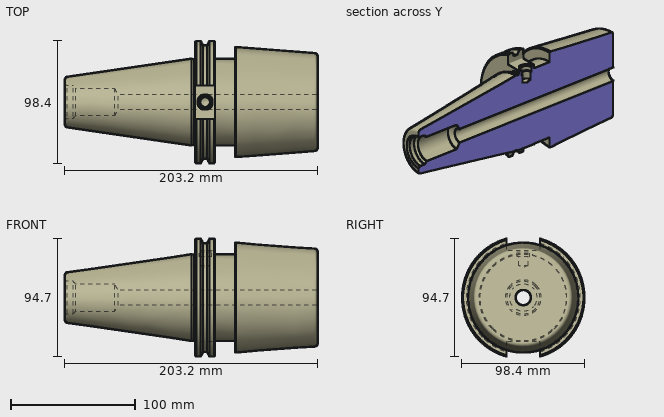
import cadquery as cq
import math

TOTAL_LENGTH = 203.2
GAUGE_X = 101.6
FLANGE_OFFSET = 3.175
FLANGE_WIDTH = 15.875
HEAD_OFFSET = 15.875

GAUGE_DIA = 69.85
TAPER_RATIO = 7 / 24
TAPER_END_FILLET = 3.0
COLLAR_DIA = 69.34
COLLAR_FILLET = 0.8

FLANGE_DIA = 98.425
FLANGE_CHAMFER = 0.9
GROOVE_BOTTOM_DIA = 91.4
GROOVE_BOTTOM_WIDTH = 3.2
GROOVE_WALL_ANGLE = 30

SLOT_WIDTH = 26.78
SLOT_FILLET = 0.8
TOP_SLOT_FLOOR = 37.8
BOTTOM_SLOT_FLOOR = 35.2

SCREW_HOLE_DIA = 8.0
SCREW_RECESS_DIA = 10.13
SCREW_MOUTH_DIA = 12.2
SCREW_RECESS_DEPTH = 5.0
SCREW_HOLE_DEPTH = 12.0
SCREW_POINT_ANGLE = 140

NECK_DIA = GAUGE_DIA
HEAD_BACK_DIA = 88.7
HEAD_FRONT_DIA = 78.5
HEAD_BACK_CHAMFER = 0.8
HEAD_FRONT_FILLET = 3.0

BORE_MOUTH_DIA = 28.7
BORE_MOUTH_ANGLE = 30
COUNTERBORE_DIA = 26.36
COUNTERBORE_DEPTH = 6.6
THREAD_BORE_DIA = 21.97
THREAD_BORE_DEPTH = 40.0
BORE_CONE_ANGLE = 118
THROUGH_HOLE_DIA = 12.0

FLANGE_X = GAUGE_X + FLANGE_OFFSET
FLANGE_END_X = FLANGE_X + FLANGE_WIDTH
FLANGE_MID_X = FLANGE_X + FLANGE_WIDTH / 2
HEAD_X = FLANGE_END_X + HEAD_OFFSET


def revolve_about_x(outline):
    """Turn a closed (x, radius) outline about the X axis."""
    return outline.close().revolve(360, (0, 0, 0), (1, 0, 0))


def make_shank():
    small_radius = (GAUGE_DIA - GAUGE_X * TAPER_RATIO) / 2
    cone = revolve_about_x(
        cq.Workplane("XY")
        .lineTo(0, small_radius)
        .lineTo(GAUGE_X, GAUGE_DIA / 2)
        .lineTo(GAUGE_X, 0)
    )
    cone = cone.faces("<X").edges().fillet(TAPER_END_FILLET)
    collar_radius = COLLAR_DIA / 2
    collar = revolve_about_x(
        cq.Workplane("XY")
        .moveTo(GAUGE_X, 0)
        .lineTo(GAUGE_X, collar_radius)
        .lineTo(FLANGE_X - COLLAR_FILLET, collar_radius)
        .radiusArc((FLANGE_X, collar_radius + COLLAR_FILLET), -COLLAR_FILLET)
        .lineTo(FLANGE_X, 0)
    )
    return cone.union(collar)


def make_flange():
    outer_radius = FLANGE_DIA / 2
    groove_radius = GROOVE_BOTTOM_DIA / 2
    groove_half_bottom = GROOVE_BOTTOM_WIDTH / 2
    wall_run = (outer_radius - groove_radius) * math.tan(math.radians(GROOVE_WALL_ANGLE))
    groove_half_top = groove_half_bottom + wall_run
    return revolve_about_x(
        cq.Workplane("XY")
        .moveTo(FLANGE_X, 0)
        .lineTo(FLANGE_X, outer_radius - FLANGE_CHAMFER)
        .lineTo(FLANGE_X + FLANGE_CHAMFER, outer_radius)
        .lineTo(FLANGE_MID_X - groove_half_top, outer_radius)
        .lineTo(FLANGE_MID_X - groove_half_bottom, groove_radius)
        .lineTo(FLANGE_MID_X + groove_half_bottom, groove_radius)
        .lineTo(FLANGE_MID_X + groove_half_top, outer_radius)
        .lineTo(FLANGE_END_X - FLANGE_CHAMFER, outer_radius)
        .lineTo(FLANGE_END_X, outer_radius - FLANGE_CHAMFER)
        .lineTo(FLANGE_END_X, 0)
    )


def make_neck_and_head():
    head = revolve_about_x(
        cq.Workplane("XY")
        .moveTo(HEAD_X, 0)
        .lineTo(HEAD_X, HEAD_BACK_DIA / 2)
        .lineTo(TOTAL_LENGTH, HEAD_FRONT_DIA / 2)
        .lineTo(TOTAL_LENGTH, 0)
    )
    head = head.faces("<X").edges().chamfer(HEAD_BACK_CHAMFER)
    head = head.faces(">X").edges().fillet(HEAD_FRONT_FILLET)
    neck = cq.Workplane("YZ", (FLANGE_END_X, 0, 0)).circle(NECK_DIA / 2).extrude(HEAD_OFFSET)
    return neck.union(head)


def make_drive_slot(floor_distance, side):
    """Block that clears a slot above (side=1) or below (side=-1) the axis."""
    height = FLANGE_DIA / 2
    mid_z = side * (floor_distance + height / 2)
    block = cq.Workplane("XY", (FLANGE_MID_X, 0, mid_z)).box(FLANGE_WIDTH, SLOT_WIDTH, height)
    floor = block.faces("<Z" if side > 0 else ">Z")
    return floor.edges("|X").fillet(SLOT_FILLET)


def make_bore():
    mouth_depth = (BORE_MOUTH_DIA - COUNTERBORE_DIA) / 2 / math.tan(math.radians(BORE_MOUTH_ANGLE))
    step_depth = (COUNTERBORE_DIA - THREAD_BORE_DIA) / 2
    cone_rise = (THREAD_BORE_DIA - THROUGH_HOLE_DIA) / 2
    cone_depth = cone_rise / math.tan(math.radians(BORE_CONE_ANGLE / 2))
    return revolve_about_x(
        cq.Workplane("XY")
        .lineTo(0, BORE_MOUTH_DIA / 2)
        .lineTo(mouth_depth, COUNTERBORE_DIA / 2)
        .lineTo(COUNTERBORE_DEPTH, COUNTERBORE_DIA / 2)
        .lineTo(COUNTERBORE_DEPTH + step_depth, THREAD_BORE_DIA / 2)
        .lineTo(THREAD_BORE_DEPTH, THREAD_BORE_DIA / 2)
        .lineTo(THREAD_BORE_DEPTH + cone_depth, THROUGH_HOLE_DIA / 2)
        .lineTo(TOTAL_LENGTH, THROUGH_HOLE_DIA / 2)
        .lineTo(TOTAL_LENGTH, 0)
    )


def make_screw_hole():
    """Stepped blind hole, turned about a line parallel to Z."""
    mouth_depth = (SCREW_MOUTH_DIA - SCREW_RECESS_DIA) / 2
    point_depth = SCREW_HOLE_DIA / 2 / math.tan(math.radians(SCREW_POINT_ANGLE / 2))
    return (
        cq.Workplane("XZ", (FLANGE_MID_X, 0, TOP_SLOT_FLOOR))
        .lineTo(SCREW_MOUTH_DIA / 2, 0)
        .lineTo(SCREW_RECESS_DIA / 2, -mouth_depth)
        .lineTo(SCREW_RECESS_DIA / 2, -SCREW_RECESS_DEPTH)
        .lineTo(SCREW_HOLE_DIA / 2, -SCREW_RECESS_DEPTH)
        .lineTo(SCREW_HOLE_DIA / 2, -SCREW_HOLE_DEPTH)
        .lineTo(0, -SCREW_HOLE_DEPTH - point_depth)
        .close()
        .revolve(360, (0, 0, 0), (0, 1, 0))
    )


flange = make_flange()
flange = flange.cut(make_drive_slot(TOP_SLOT_FLOOR, 1))
flange = flange.cut(make_drive_slot(BOTTOM_SLOT_FLOOR, -1))

body = make_shank().union(flange).union(make_neck_and_head())
result = body.cut(make_bore()).cut(make_screw_hole())